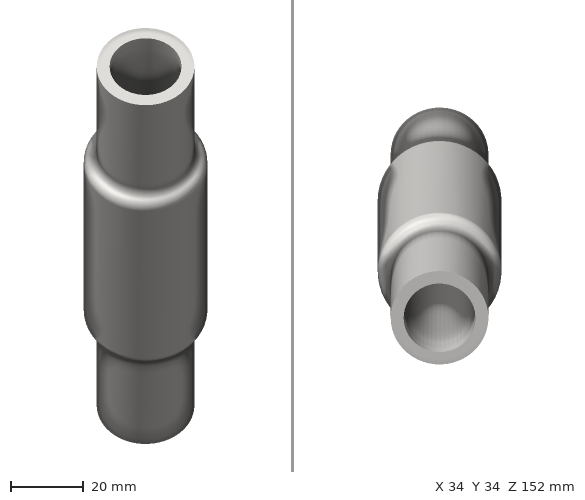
import cadquery as cq
import math

total_length = 152.0
body_diameter = 34.0
neck_diameter = 26.9
bore_diameter = 19.8
neck_length = 37.4
blend_radius = 3.0

body_radius = body_diameter / 2
neck_radius = neck_diameter / 2
half_length = total_length / 2

mid_radius = (neck_radius + body_radius) / 2
blend_angle = math.acos(1 - (mid_radius - neck_radius) / blend_radius)
arc_height = blend_radius * math.sin(blend_angle)
arc_bulge = blend_radius * (1 - math.cos(blend_angle / 2))
arc_half_rise = blend_radius * math.sin(blend_angle / 2)

neck_end_z = half_length - neck_length
mid_z = neck_end_z - arc_height
body_end_z = mid_z - arc_height

body_end = (body_radius, body_end_z)
body_arc_point = (body_radius - arc_bulge, body_end_z + arc_half_rise)
arc_joint = (mid_radius, mid_z)
neck_arc_point = (neck_radius + arc_bulge, neck_end_z - arc_half_rise)
neck_end = (neck_radius, neck_end_z)


def mirrored(point):
    """The same profile point on the lower half of the part."""
    radius, z = point
    return (radius, -z)


def make_outer_body():
    """Solid of revolution about Z: neck, shoulder, body, shoulder, neck."""
    profile = (
        cq.Workplane("XZ")
        .moveTo(0, -half_length)
        .lineTo(neck_radius, -half_length)
        .lineTo(*mirrored(neck_end))
        .threePointArc(mirrored(neck_arc_point), mirrored(arc_joint))
        .threePointArc(mirrored(body_arc_point), mirrored(body_end))
        .lineTo(*body_end)
        .threePointArc(body_arc_point, arc_joint)
        .threePointArc(neck_arc_point, neck_end)
        .lineTo(neck_radius, half_length)
        .lineTo(0, half_length)
        .close()
    )
    return profile.revolve(360, (0, 0, 0), (0, 1, 0))


def make_bore():
    """Straight cylinder through the full length."""
    return cq.Workplane("XY").circle(bore_diameter / 2).extrude(half_length, both=True)


result = make_outer_body().cut(make_bore())